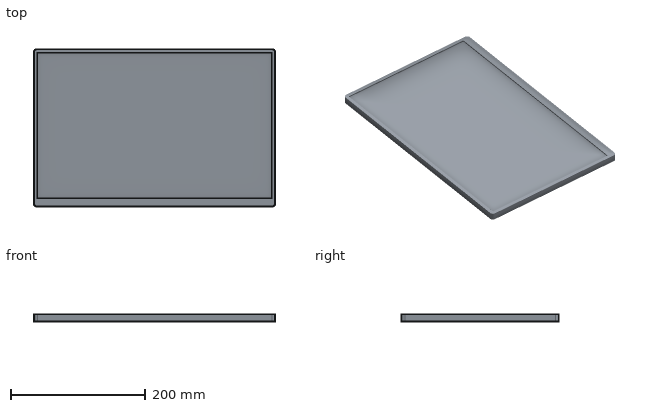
import cadquery as cq

LENGTH = 360.0
WIDTH = 235.0
THICKNESS = 11.0
CORNER_RADIUS = 5.0

RIM = 5.5
FRONT_RIM = 12.5
RECESS_DEPTH = 2.0


def make_slab():
    """Flat plate with rounded vertical corners."""
    slab = cq.Workplane("XY").box(LENGTH, WIDTH, THICKNESS, centered=(True, True, False))
    return slab.edges("|Z").fillet(CORNER_RADIUS)


def make_recess():
    """Sharp-cornered block removed from the top face to leave the rim."""
    recess_length = LENGTH - 2 * RIM
    recess_width = WIDTH - RIM - FRONT_RIM
    centre_y = (FRONT_RIM - RIM) / 2
    return (
        cq.Workplane("XY", origin=(0, centre_y, THICKNESS - RECESS_DEPTH))
        .box(recess_length, recess_width, RECESS_DEPTH, centered=(True, True, False))
    )


result = make_slab().cut(make_recess())